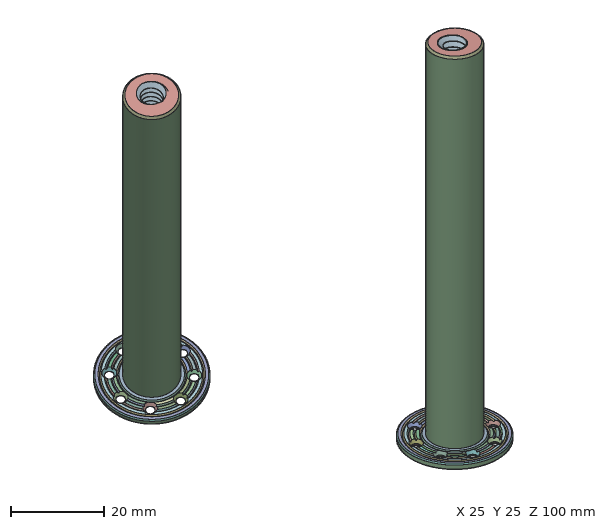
import cadquery as cq

total_height = 100.0
flange_diameter = 25.0
flange_thickness = 1.6
flange_chamfer = 0.3
post_diameter = 12.5
post_chamfer = 0.5

hole_count = 8
hole_circle_radius = 9.1
hole_diameter = 2.0
countersink_diameter = 3.2

groove_count = 4
first_groove_radius = 7.3
groove_spacing = 1.3
groove_width = 0.6
groove_depth = 0.3

bore_diameter = 5.0
thread_pitch = 1.5
thread_depth = 1.2
thread_length = 12.0
thread_mouth_angle = 150.0
thread_overlap = 0.1
thread_root_width = 0.2
thread_turn_gap = 0.01
thread_mouth_width = thread_pitch - thread_turn_gap


def make_flange():
    """Disc with both rims chamfered."""
    flange = cq.Workplane("XY").circle(flange_diameter / 2).extrude(flange_thickness)
    return flange.edges().chamfer(flange_chamfer)


def make_post():
    """Full-height round post, chamfered at its top rim."""
    post = cq.Workplane("XY").circle(post_diameter / 2).extrude(total_height)
    return post.faces(">Z").chamfer(post_chamfer)


def make_flange_hole():
    """Cutter for one hole on the Z axis, flared at both faces of the flange."""
    hole_radius = hole_diameter / 2
    flare_radius = countersink_diameter / 2
    profile = [
        (0, 0),
        (flare_radius, 0),
        (hole_radius, flange_thickness / 2),
        (flare_radius, flange_thickness),
        (0, flange_thickness),
    ]
    return cq.Workplane("XZ").polyline(profile).close().revolve(360, (0, 0), (0, 1))


def make_groove(radius):
    """Ring with a V section, sunk in the upper face of the flange."""
    section = [
        (radius - groove_width / 2, flange_thickness),
        (radius, flange_thickness - groove_depth),
        (radius + groove_width / 2, flange_thickness),
    ]
    return cq.Workplane("XZ").polyline(section).close().revolve(360, (0, 0), (0, 1))


def make_thread():
    """Cutter for the helical groove, one turn longer than the thread so it runs out of the top face."""
    bore_radius = bore_diameter / 2
    start = total_height - thread_length
    helix = cq.Wire.makeHelix(thread_pitch, thread_length + thread_pitch, bore_radius)
    inner = bore_radius - thread_overlap
    outer = bore_radius + thread_depth
    section = [
        (inner, -thread_mouth_width / 2),
        (outer, -thread_root_width / 2),
        (outer, thread_root_width / 2),
        (inner, thread_mouth_width / 2),
    ]
    groove = cq.Workplane("XZ").polyline(section).close().sweep(cq.Workplane(helix), isFrenet=True)
    turn_at_top = 360 * thread_length / thread_pitch
    groove = groove.rotate((0, 0, 0), (0, 0, 1), thread_mouth_angle - turn_at_top)
    return groove.translate((0, 0, start))


result = make_flange().union(make_post())
result = result.cut(cq.Workplane("XY").circle(bore_diameter / 2).extrude(total_height))
result = result.cut(make_thread())

for index in range(groove_count):
    result = result.cut(make_groove(first_groove_radius + index * groove_spacing))

flange_hole = make_flange_hole().translate((hole_circle_radius, 0, 0))
for index in range(hole_count):
    result = result.cut(flange_hole.rotate((0, 0, 0), (0, 0, 1), index * 360 / hole_count))